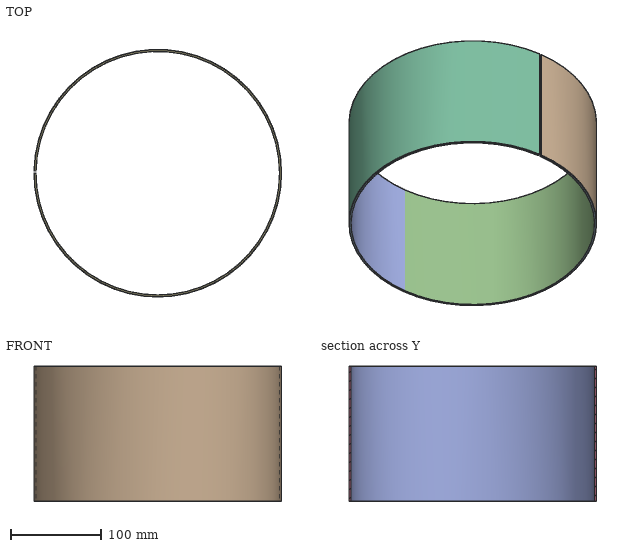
import cadquery as cq

OUTER_DIAMETER = 275.0
WALL_THICKNESS = 2.5
HEIGHT = 150.0
OUTER_CHAMFER = 0.5
INNER_CHAMFER = 0.2
SLIT_ANGLE = 1.0

FULL_TURN = 360.0
HALF_TURN = 180.0

outer_radius = OUTER_DIAMETER / 2
inner_radius = outer_radius - WALL_THICKNESS


def make_ring():
    """Thin-walled ring around the Z axis with chamfered outer and inner rims at both ends."""
    wall_section = [
        (outer_radius - OUTER_CHAMFER, 0),
        (outer_radius, OUTER_CHAMFER),
        (outer_radius, HEIGHT - OUTER_CHAMFER),
        (outer_radius - OUTER_CHAMFER, HEIGHT),
        (inner_radius + INNER_CHAMFER, HEIGHT),
        (inner_radius, HEIGHT - INNER_CHAMFER),
        (inner_radius, INNER_CHAMFER),
        (inner_radius + INNER_CHAMFER, 0),
    ]
    return (
        cq.Workplane("XZ")
        .polyline(wall_section)
        .close()
        .revolve(FULL_TURN, (0, 0, 0), (0, 1, 0))
    )


def make_slit_wedge():
    """Full-height wedge from the axis to beyond the -X side, opening from the XZ plane toward +Y."""
    return (
        cq.Workplane("XZ")
        .rect(OUTER_DIAMETER, HEIGHT, centered=False)
        .revolve(SLIT_ANGLE, (0, 0, 0), (0, -1, 0))
        .rotate((0, 0, 0), (0, 0, 1), HALF_TURN)
    )


result = make_ring().cut(make_slit_wedge())